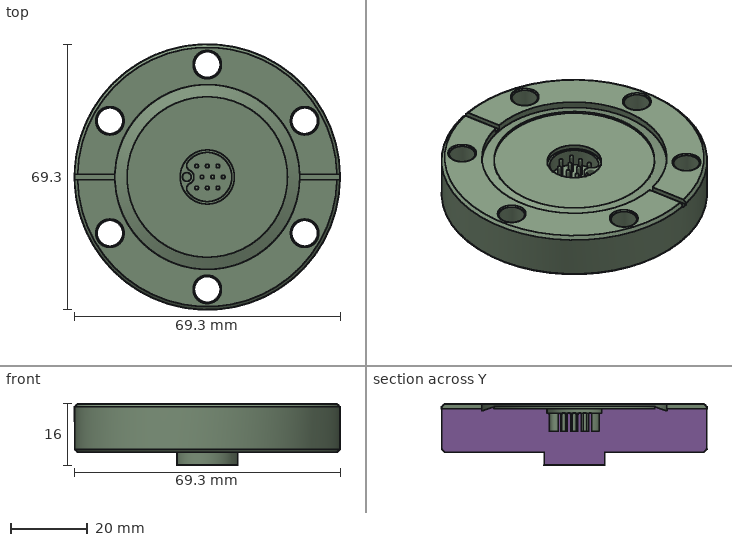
import cadquery as cq
import math

flange_diameter = 69.35
flange_radius = flange_diameter / 2
flange_height = 12.7
rim_chamfer = 0.8

boss_diameter = 15.95
boss_height = 3.3

bolt_count = 6
bolt_circle_radius = 29.3
bolt_hole_diameter = 6.7
bolt_hole_chamfer = 0.35

recess_radius = 24.1
groove_depth = 1.8
knife_radius = 20.95
knife_tip_depth = 0.7
center_face_depth = 1.25

slot_width = 1.45
slot_depth = 1.25

mouth_diameter = 14.15
mouth_depth = 1.2
cavity_diameter = 12.8
cavity_depth = 4.7
key_offset = 5.35
key_radius = 1.9
key_corner_radius = 1.45
key_hole_diameter = 2.3
key_hole_rounding = 0.35

pin_diameter = 1.0
pin_pitch = 2.8
pin_row_spacing = 2.85
pin_tip_above_ledge = 0.15
pins_per_row = 3

center_face_z = flange_height - center_face_depth
ledge_z = center_face_z - mouth_depth
cavity_floor_z = ledge_z - cavity_depth
pin_tip_z = ledge_z + pin_tip_above_ledge


def disc(diameter, bottom_z, top_z, x=0, y=0):
    """Vertical cylinder between two levels."""
    height = top_z - bottom_z
    return cq.Workplane("XY", origin=(x, y, bottom_z)).circle(diameter / 2).extrude(height)


def chamfered_hole(diameter, chamfer, bottom_z, top_z, x, y):
    """Cutter for a hole with a 45 degree chamfer at its top."""
    radius = diameter / 2
    wide = radius + chamfer
    profile = [(0, bottom_z), (radius, bottom_z), (radius, top_z - chamfer), (wide, top_z), (0, top_z)]
    cutter = cq.Workplane("XZ").polyline(profile).close().revolve(360, (0, 0), (0, 1))
    return cutter.translate((x, y, 0))


def make_body():
    """Flange with both rims chamfered, and the boss below it."""
    flange = disc(flange_diameter, 0, flange_height).faces("<Z or >Z").chamfer(rim_chamfer)
    return flange.union(disc(boss_diameter, -boss_height, 0))


def make_recess():
    """Recess ring: vertical outer wall, floor rising to the knife tip, then a drop to the center face."""
    profile = [
        (0, flange_height),
        (recess_radius, flange_height),
        (recess_radius, flange_height - groove_depth),
        (knife_radius, flange_height - knife_tip_depth),
        (knife_radius, center_face_z),
        (0, center_face_z),
    ]
    return cq.Workplane("XZ").polyline(profile).close().revolve(360, (0, 0), (0, 1))


def make_slot(side):
    """Slot from the recess wall out through the rim; side is -1 or +1 along X."""
    inner_x = recess_radius * math.cos(math.asin(slot_width / 2 / recess_radius))
    length = flange_radius - inner_x
    center_x = side * (inner_x + flange_radius) / 2
    slot = cq.Workplane("XY", origin=(center_x, 0, flange_height - slot_depth))
    return slot.rect(length, slot_width).extrude(slot_depth)


def make_cavity():
    """Round cavity with a round key on its -X side; the corners beside the key are rounded."""
    cavity = disc(cavity_diameter, cavity_floor_z, ledge_z)
    key = disc(2 * key_radius, cavity_floor_z, ledge_z, x=-key_offset)
    return cavity.cut(key).edges("|Z and <X").fillet(key_corner_radius)


def make_key_hole():
    """Cutter for the hole in the key, with a rounded upper lip."""
    radius = key_hole_diameter / 2
    lip_radius = radius + key_hole_rounding
    profile = cq.Workplane("XZ").moveTo(0, cavity_floor_z).lineTo(radius, cavity_floor_z)
    profile = profile.lineTo(radius, ledge_z - key_hole_rounding)
    profile = profile.radiusArc((lip_radius, ledge_z), key_hole_rounding)
    cutter = profile.lineTo(0, ledge_z).close().revolve(360, (0, 0), (0, 1))
    return cutter.translate((-key_offset, 0, 0))


def make_pin(x, y):
    """Pin with a hemispherical tip, its root sunk into the cavity floor."""
    radius = pin_diameter / 2
    shaft_top_z = pin_tip_z - radius
    root_z = cavity_floor_z - radius
    profile = cq.Workplane("XZ").moveTo(0, root_z).lineTo(radius, root_z).lineTo(radius, shaft_top_z)
    profile = profile.radiusArc((0, pin_tip_z), -radius).close()
    return profile.revolve(360, (0, 0), (0, 1)).translate((x, y, 0))


result = make_body().cut(make_recess())

for side in (-1, 1):
    result = result.cut(make_slot(side))

for index in range(bolt_count):
    angle = math.radians(90 + index * 360 / bolt_count)
    hole_x = bolt_circle_radius * math.cos(angle)
    hole_y = bolt_circle_radius * math.sin(angle)
    hole = chamfered_hole(bolt_hole_diameter, bolt_hole_chamfer, 0, flange_height, hole_x, hole_y)
    result = result.cut(hole)

result = result.cut(disc(mouth_diameter, ledge_z, center_face_z))
result = result.cut(make_cavity())
result = result.cut(make_key_hole())

for row in (-1, 0, 1):
    row_shift = pin_pitch / 2 if row == 0 else 0
    for column in range(pins_per_row):
        pin_x = (column - (pins_per_row - 1) / 2) * pin_pitch + row_shift
        result = result.union(make_pin(pin_x, row * pin_row_spacing))